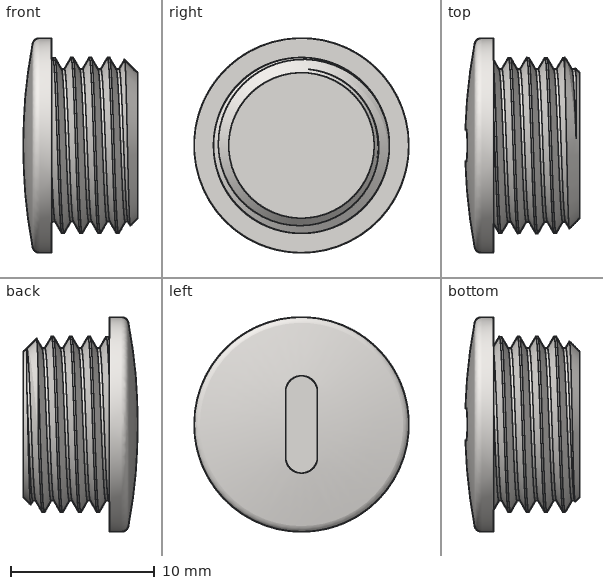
import cadquery as cq
import math

LENGTH = 8.0

HEAD_DIAMETER = 14.97
HEAD_THICKNESS = 2.0
DOME_HEIGHT = 0.74
RIM_FILLET = 0.5
SHOULDER_FILLET = 0.1

SLOT_WIDTH = 2.22
SLOT_LENGTH = 6.78
SLOT_DEPTH = 1.5

PITCH = 1.27
MAJOR_DIAMETER = 12.26
MINOR_DIAMETER = 10.66
CREST_WIDTH = 0.14
FLANK_ANGLE = 30.0
ROOT_OVERLAP = 0.1
THREAD_START = 1.195
RIDGE_EXCESS = 1.0
CORE_EXCESS = 2.0

END_DIAMETER = 10.14
END_CHAMFER_ANGLE = 45.0


def make_head():
    """Spherical dome on a short cylinder, with a rounded rim and a slightly eased shoulder."""
    head_radius = HEAD_DIAMETER / 2
    sphere_radius = (head_radius**2 + DOME_HEIGHT**2) / (2 * DOME_HEIGHT)
    half_angle = math.asin(head_radius / sphere_radius) / 2
    dome_middle = (sphere_radius * (1 - math.cos(half_angle)), sphere_radius * math.sin(half_angle))
    blank = (
        cq.Workplane("XY")
        .moveTo(0, 0)
        .threePointArc(dome_middle, (DOME_HEIGHT, head_radius))
        .lineTo(HEAD_THICKNESS, head_radius)
        .lineTo(HEAD_THICKNESS, 0)
        .close()
        .revolve(360, (0, 0, 0), (1, 0, 0))
    )
    rounded = blank.faces("%CYLINDER").edges("<X").fillet(RIM_FILLET)
    return rounded.faces(">X").edges().fillet(SHOULDER_FILLET)


def make_core():
    """Cylinder at the thread's minor diameter, from inside the head to beyond the shank end."""
    start = HEAD_THICKNESS / 2
    core_length = LENGTH + CORE_EXCESS - start
    return cq.Workplane("YZ", origin=(start, 0, 0)).circle(MINOR_DIAMETER / 2).extrude(core_length)


def make_thread_ridge():
    """Helical ridge of trapezoidal section, from inside the head to beyond the shank end."""
    root_radius = MINOR_DIAMETER / 2 - ROOT_OVERLAP
    crest_radius = MAJOR_DIAMETER / 2
    half_crest = CREST_WIDTH / 2
    half_root = half_crest + (crest_radius - root_radius) * math.tan(math.radians(FLANK_ANGLE))
    helix_length = LENGTH + RIDGE_EXCESS - THREAD_START
    path = cq.Workplane(cq.Wire.makeHelix(PITCH, helix_length, root_radius))
    ridge = (
        cq.Workplane("XZ")
        .polyline(
            [
                (root_radius, -half_root),
                (crest_radius, -half_crest),
                (crest_radius, half_crest),
                (root_radius, half_root),
            ]
        )
        .close()
        .sweep(path, isFrenet=True)
    )
    return (
        ridge.rotate((0, 0, 0), (0, 1, 0), 90)
        .rotate((0, 0, 0), (1, 0, 0), 270)
        .translate((THREAD_START, 0, 0))
    )


def make_envelope():
    """Space the plug may fill: a cylinder at the head diameter with the shank's end chamfer."""
    end_radius = END_DIAMETER / 2
    outer_radius = HEAD_DIAMETER / 2
    chamfer_length = (outer_radius - end_radius) / math.tan(math.radians(END_CHAMFER_ANGLE))
    return (
        cq.Workplane("XY")
        .polyline(
            [
                (0, 0),
                (0, outer_radius),
                (LENGTH - chamfer_length, outer_radius),
                (LENGTH, end_radius),
                (LENGTH, 0),
            ]
        )
        .close()
        .revolve(360, (0, 0, 0), (1, 0, 0))
    )


def make_slot():
    """Round-ended driver slot, long along Z, sunk from the dome apex."""
    along_z = 90
    return cq.Workplane("YZ").slot2D(SLOT_LENGTH, SLOT_WIDTH, along_z).extrude(SLOT_DEPTH)


untrimmed_plug = make_head().union(make_core()).union(make_thread_ridge())
result = untrimmed_plug.intersect(make_envelope()).cut(make_slot())